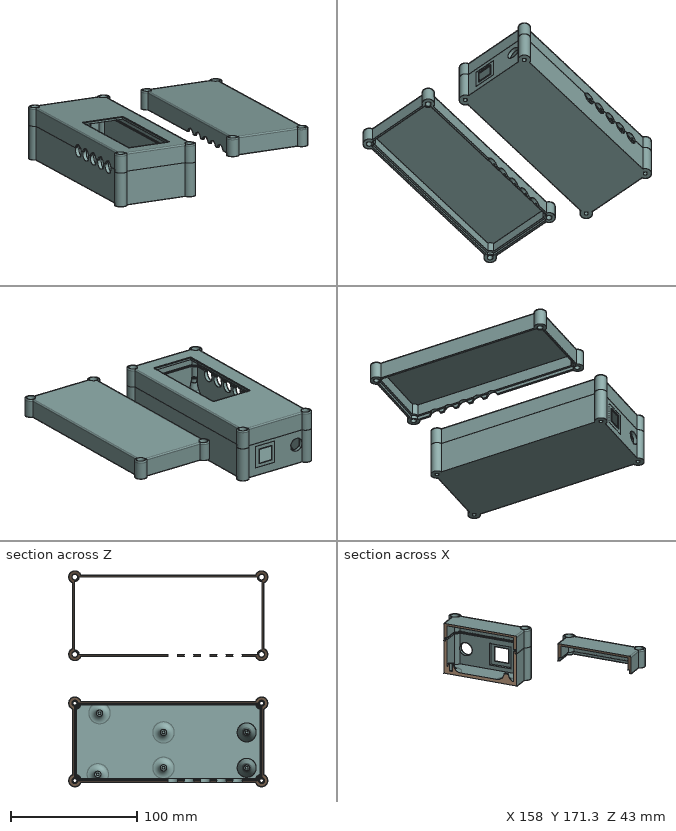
import cadquery as cq
import math


OVERALL_X = 158.0
OVERALL_Y = 171.3
ENCLOSURE_Y = 71.3
LID_PITCH_Y = OVERALL_Y - ENCLOSURE_Y
BASE_HEIGHT = 28.0
LID_HEIGHT = 15.0
TOTAL_HEIGHT = BASE_HEIGHT + LID_HEIGHT

BOSS_DIAMETER = 10.0
BOSS_SPACING_X = OVERALL_X - BOSS_DIAMETER
BOSS_SPACING_Y = ENCLOSURE_Y - BOSS_DIAMETER
SHELL_X = BOSS_SPACING_X + 3.5
SHELL_Y = BOSS_SPACING_Y + 3.0
WALL = 3.0
FLOOR = 3.0
ROOF = 2.0
EDGE_FILLET = 1.0
CUT_DEPTH = 3 * WALL

LIP_HEIGHT = 2.0
LIP_THICKNESS = 1.5
LIP_CHAMFER = 0.7
LIP_GAP = 0.9

PILOT_DIAMETER = 3.0
CLEARANCE_DIAMETER = 4.5
HEAD_DIAMETER = 7.0
HEAD_FLOOR_DIAMETER = 5.0
HEAD_DEPTH = 5.0
HEAD_TAPER = math.degrees(math.atan((HEAD_DIAMETER - HEAD_FLOOR_DIAMETER) / 2 / HEAD_DEPTH))

WINDOW_X = 79.1
WINDOW_Y = 35.1
WINDOW_CENTER = (23.1, 0.2)
WINDOW_CHAMFER = 0.5

BUTTON_COUNT = 5
BUTTON_DIAMETER = 10.0
BUTTON_PITCH = 12.8
BUTTON_FIRST_X = 3.6
BUTTON_Z = 26.7

SHORT_STANDOFFS = [(-3.8, 7.5), (-3.8, -20.5), (-54.5, 22.8), (-55.9, -25.7)]
SHORT_TOP_DIAMETER = 5.0
SHORT_FLARE = 6.0
STANDOFF_PILOT = 2.2

TALL_STANDOFF_X = 62.2
TALL_STANDOFFS = [(TALL_STANDOFF_X, y) for _, y in SHORT_STANDOFFS[:2]]
TALL_BASE_DIAMETER = 15.0
TALL_NECK_DIAMETER = 7.0
TALL_NECK_Z = 14.9
TALL_SHOULDER_DIAMETER = 5.0
TALL_SHOULDER_Z = 21.2
TALL_TIP_DIAMETER = 4.5
TALL_TIP_Z = 24.5

SQUARE_SIDE = 12.3
SQUARE_CENTER = (9.6, 15.8)
RECESS_MARGIN = 3.0
RECESS_SKIN = 0.7
JACK_DIAMETER = 11.0
JACK_CENTER = (SHORT_STANDOFFS[1][1], 16.5)


def at_height(z):
    return cq.Workplane("XY", origin=(0, 0, z))


def at_corners(z):
    points = [(sx * BOSS_SPACING_X / 2, sy * BOSS_SPACING_Y / 2) for sx in (-1, 1) for sy in (-1, 1)]
    return at_height(z).pushPoints(points)


def corner_cylinders(diameter, bottom, height):
    return at_corners(bottom).circle(diameter / 2).extrude(height)


def outer_block(bottom, height):
    block = at_height(bottom).rect(SHELL_X, SHELL_Y).extrude(height)
    return block.union(corner_cylinders(BOSS_DIAMETER, bottom, height))


def cavity(bottom, height, widened=0.0):
    """Room inside the walls and around the bosses; `widened` moves its sides outward."""
    wall = WALL - widened
    room = at_height(bottom).rect(SHELL_X - 2 * wall, SHELL_Y - 2 * wall).extrude(height)
    return room.cut(corner_cylinders(BOSS_DIAMETER - 2 * widened, bottom, height))


def lip():
    ring = cavity(BASE_HEIGHT, LIP_HEIGHT, LIP_THICKNESS).cut(cavity(BASE_HEIGHT, LIP_HEIGHT))
    return ring.faces(">Z").chamfer(LIP_CHAMFER)


def button_holes():
    points = [(BUTTON_FIRST_X + i * BUTTON_PITCH, BUTTON_Z) for i in range(BUTTON_COUNT)]
    inside_wall = cq.Workplane("XZ", origin=(0, -SHELL_Y / 2 + 2 * WALL, 0))
    return inside_wall.pushPoints(points).circle(BUTTON_DIAMETER / 2).extrude(CUT_DEPTH)


def on_left_wall(depth, center):
    return cq.Workplane("YZ", origin=(-SHELL_X / 2 + depth, 0, 0)).center(*center)


def connector_openings():
    square = on_left_wall(-WALL, SQUARE_CENTER).rect(SQUARE_SIDE, SQUARE_SIDE).extrude(CUT_DEPTH)
    recess_side = SQUARE_SIDE + 2 * RECESS_MARGIN
    recess = (
        on_left_wall(RECESS_SKIN, SQUARE_CENTER)
        .rect(recess_side, recess_side)
        .extrude(WALL - RECESS_SKIN)
    )
    jack = on_left_wall(-WALL, JACK_CENTER).circle(JACK_DIAMETER / 2).extrude(CUT_DEPTH)
    return square.union(recess).union(jack)


def short_standoff():
    top_radius = SHORT_TOP_DIAMETER / 2
    top_z = FLOOR + SHORT_FLARE
    arc_offset = SHORT_FLARE * (1 - math.cos(math.pi / 4))
    return (
        cq.Workplane("XZ")
        .moveTo(STANDOFF_PILOT / 2, FLOOR)
        .lineTo(top_radius + SHORT_FLARE, FLOOR)
        .threePointArc((top_radius + arc_offset, FLOOR + arc_offset), (top_radius, top_z))
        .lineTo(STANDOFF_PILOT / 2, top_z)
        .close()
        .revolve(360, (0, 0, 0), (0, 1, 0))
    )


def tall_standoff():
    return (
        cq.Workplane("XZ")
        .moveTo(STANDOFF_PILOT / 2, FLOOR)
        .lineTo(TALL_BASE_DIAMETER / 2, FLOOR)
        .lineTo(TALL_NECK_DIAMETER / 2, TALL_NECK_Z)
        .lineTo(TALL_SHOULDER_DIAMETER / 2, TALL_SHOULDER_Z)
        .lineTo(TALL_TIP_DIAMETER / 2, TALL_SHOULDER_Z)
        .lineTo(TALL_TIP_DIAMETER / 2, TALL_TIP_Z)
        .lineTo(STANDOFF_PILOT / 2, TALL_TIP_Z)
        .close()
        .revolve(360, (0, 0, 0), (0, 1, 0))
    )


def standoffs():
    """All standoffs, trimmed to the outside of the base where a flare reaches a wall."""
    posts = cq.Workplane("XY")
    for x, y in SHORT_STANDOFFS:
        posts = posts.add(short_standoff().translate((x, y, 0)))
    for x, y in TALL_STANDOFFS:
        posts = posts.add(tall_standoff().translate((x, y, 0)))
    return posts.combine().intersect(outer_block(0, BASE_HEIGHT))


def make_base():
    base = outer_block(0, BASE_HEIGHT)
    base = base.cut(cavity(FLOOR, BASE_HEIGHT - FLOOR)).union(lip())
    base = base.union(standoffs())
    base = base.cut(button_holes()).cut(connector_openings())
    return base.cut(corner_cylinders(PILOT_DIAMETER, 0, BASE_HEIGHT))


def head_seats():
    """Tapered counterbores for the screw heads."""
    return at_corners(TOTAL_HEIGHT).circle(HEAD_DIAMETER / 2).extrude(-HEAD_DEPTH, taper=HEAD_TAPER)


def make_lid():
    lid = outer_block(BASE_HEIGHT, LID_HEIGHT).faces(">Z").edges().fillet(EDGE_FILLET)
    lid = lid.cut(cavity(BASE_HEIGHT, LID_HEIGHT - ROOF))
    lid = lid.cut(cavity(BASE_HEIGHT, LIP_HEIGHT + LIP_GAP, LIP_THICKNESS))
    lid = lid.cut(button_holes())
    lid = lid.cut(corner_cylinders(CLEARANCE_DIAMETER, BASE_HEIGHT, LID_HEIGHT))
    return lid.cut(head_seats())


def window():
    opening = at_height(TOTAL_HEIGHT).center(*WINDOW_CENTER).rect(WINDOW_X, WINDOW_Y).extrude(-ROOF)
    chamfer = (
        at_height(TOTAL_HEIGHT)
        .center(*WINDOW_CENTER)
        .rect(WINDOW_X + 2 * WINDOW_CHAMFER, WINDOW_Y + 2 * WINDOW_CHAMFER)
        .extrude(-WINDOW_CHAMFER, taper=45)
    )
    return opening.union(chamfer)


base = make_base()
windowed_lid = make_lid().cut(window())
plain_lid = make_lid().translate((0, LID_PITCH_Y, 0))

result = cq.Compound.makeCompound([base.val(), windowed_lid.val(), plain_lid.val()])